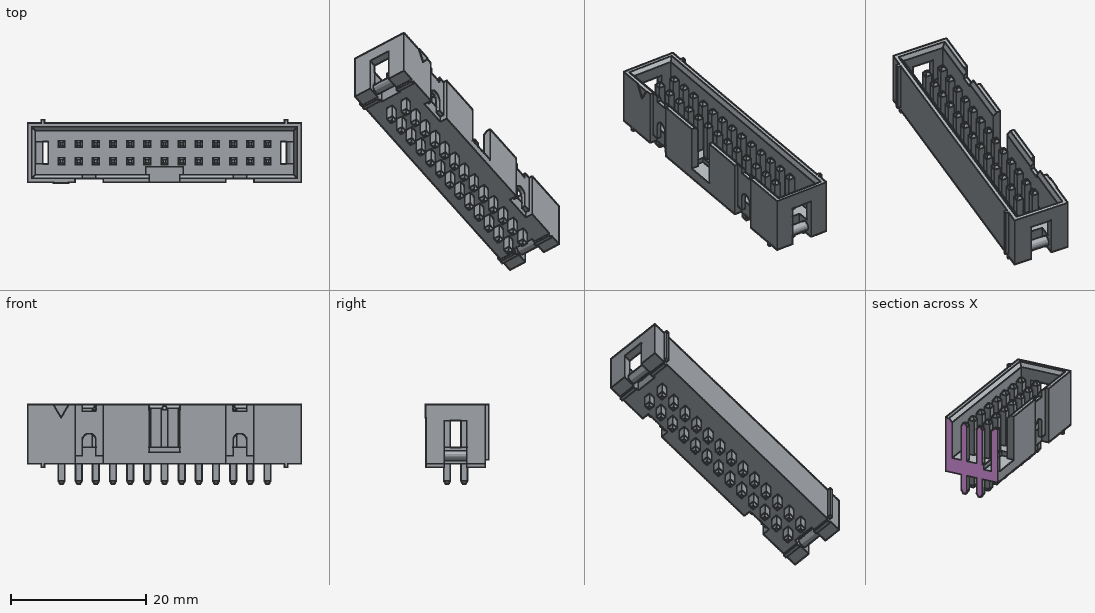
import cadquery as cq


LENGTH = 40.52
DEPTH = 8.8
HEIGHT = 8.8
WALL = 1.15
LEAD_IN = 0.55
FLOOR_TOP = 2.45
FRONT = -DEPTH / 2
BACK = DEPTH / 2
CAVITY_LENGTH = LENGTH - 2 * WALL
CAVITY_DEPTH = DEPTH - 2 * WALL

PITCH = 2.54
COLUMNS = 13
ROWS = 2
PIN_SIZE = 1.0
PIN_TOP = HEIGHT - 0.3
PIN_BOTTOM = -3.0
TIP_HEIGHT = 0.5
TIP_SIZE = 0.4

WINDOW_WIDTH = 4.55
WINDOW_BOTTOM = 1.7
POCKET_WIDTH = 5.55
POCKET_DEPTH = 2.33

LATCH_X = 11.16
RECESS_WIDTH = 4.15
RECESS_DEPTH = 0.55
OPENING_WIDTH = 2.0
OPENING_TOP = 4.5
FOOT_HEIGHT = 1.2
NOTCH_DEPTH = 1.0

SLOT_WIDTH = 3.3
SLOT_LENGTH = 3.05
SLOT_TOP = HEIGHT - 2.4
BAR_INSET = 0.75
BAR_DIAMETER = 1.5
BAR_Z = 1.2

RIB_X = 18.0
RIB_SIZE = 0.5
BACK_RIB_BOTTOM = 0.6

MARK_WIDTH = 2.3
MARK_HEIGHT = 1.95
MARK_THICKNESS = 0.1
MARK_X = -15.3


def block(x_min, x_max, y_min, y_max, z_min, z_max):
    """Box given by its limits along each axis."""
    size = (x_max - x_min, y_max - y_min, z_max - z_min)
    return cq.Workplane("XY").box(*size, centered=False).translate((x_min, y_min, z_min))


def centred_block(x, width, y_min, y_max, z_min, z_max):
    """Box centred on x, with limits along Y and Z."""
    return block(x - width / 2, x + width / 2, y_min, y_max, z_min, z_max)


def taper(z_start, size_start, z_end, size_end):
    """Frustum between two centred rectangles."""
    return (
        cq.Workplane("XY", origin=(0, 0, z_start))
        .rect(*size_start)
        .workplane(offset=z_end - z_start)
        .rect(*size_end)
        .loft(ruled=True)
    )


def cavity():
    """Open cavity with a chamfered lead-in around its rim."""
    well = centred_block(0, CAVITY_LENGTH, FRONT + WALL, BACK - WALL, FLOOR_TOP, HEIGHT)
    mouth_size = (CAVITY_LENGTH + 2 * LEAD_IN, CAVITY_DEPTH + 2 * LEAD_IN)
    lead_in = taper(HEIGHT - LEAD_IN, (CAVITY_LENGTH, CAVITY_DEPTH), HEIGHT, mouth_size)
    return well.union(lead_in)


def key_window():
    """Window through the front wall and the wider pocket cut into the floor."""
    window = centred_block(0, WINDOW_WIDTH, FRONT, FRONT + WALL, WINDOW_BOTTOM, HEIGHT)
    pocket = centred_block(
        0, POCKET_WIDTH, FRONT + WALL, FRONT + POCKET_DEPTH, WINDOW_BOTTOM, FLOOR_TOP
    )
    return window.union(pocket)


def latch_cut(x):
    """Shallow recess with a rim notch, an arched opening and a wide foot."""
    inner_face = FRONT + WALL
    arch_radius = OPENING_WIDTH / 2
    arch_z = OPENING_TOP - arch_radius
    recess = centred_block(x, RECESS_WIDTH, FRONT, FRONT + RECESS_DEPTH, 0, HEIGHT)
    notch = centred_block(x, OPENING_WIDTH, FRONT, inner_face, HEIGHT - NOTCH_DEPTH, HEIGHT)
    foot = centred_block(x, RECESS_WIDTH, FRONT, inner_face, 0, FOOT_HEIGHT)
    opening = centred_block(x, OPENING_WIDTH, FRONT, inner_face, 0, arch_z)
    arch = (
        cq.Workplane("XZ", origin=(x, FRONT, arch_z))
        .circle(arch_radius)
        .extrude(-WALL)
    )
    return recess.union(notch).union(foot).union(opening).union(arch)


def end_slot(side):
    """Slot through the end wall and the end of the floor."""
    slot_x = side * (LENGTH - SLOT_LENGTH) / 2
    return centred_block(
        slot_x, SLOT_LENGTH, -SLOT_WIDTH / 2, SLOT_WIDTH / 2, -RIB_SIZE, SLOT_TOP
    )


def end_bar(side):
    """Round bar that spans the end slot."""
    bar_x = side * (LENGTH / 2 - BAR_INSET - BAR_DIAMETER / 2)
    return (
        cq.Workplane("XZ", origin=(bar_x, 0, BAR_Z))
        .circle(BAR_DIAMETER / 2)
        .extrude(SLOT_WIDTH / 2, both=True)
    )


def ribs(x):
    """Standoff rib under the housing and crush rib on its back face."""
    standoff = centred_block(x, RIB_SIZE, FRONT, BACK, -RIB_SIZE, 0)
    back_rib = centred_block(x, RIB_SIZE, BACK, BACK + RIB_SIZE, BACK_RIB_BOTTOM, HEIGHT)
    return standoff.union(back_rib)


def pin_one_mark():
    """Raised triangle on the front face, pointing down from the rim."""
    return (
        cq.Workplane("XZ", origin=(MARK_X, FRONT, HEIGHT))
        .polyline([(-MARK_WIDTH / 2, 0), (MARK_WIDTH / 2, 0), (0, -MARK_HEIGHT)])
        .close()
        .extrude(MARK_THICKNESS)
    )


def pin():
    """Square pin tapered at both ends, centred on the Z axis."""
    shank_bottom = PIN_BOTTOM + TIP_HEIGHT
    shank_top = PIN_TOP - TIP_HEIGHT
    shank_size = (PIN_SIZE, PIN_SIZE)
    tip_size = (TIP_SIZE, TIP_SIZE)
    half = PIN_SIZE / 2
    shank = block(-half, half, -half, half, shank_bottom, shank_top)
    upper_tip = taper(shank_top, shank_size, PIN_TOP, tip_size)
    lower_tip = taper(PIN_BOTTOM, tip_size, shank_bottom, shank_size)
    return shank.union(upper_tip).union(lower_tip)


def housing():
    """Shroud with its cavity, windows, latches, end slots and ribs."""
    body = centred_block(0, LENGTH, FRONT, BACK, 0, HEIGHT)
    body = body.cut(cavity()).cut(key_window()).union(pin_one_mark())
    for side in (-1, 1):
        body = body.union(ribs(side * RIB_X))
        body = body.cut(latch_cut(side * LATCH_X))
        body = body.cut(end_slot(side)).union(end_bar(side))
    return body


def pins():
    """Full grid of identical pins."""
    return (
        cq.Workplane("XY")
        .rarray(PITCH, PITCH, COLUMNS, ROWS)
        .eachpoint(pin().val(), combine=False)
    )


result = housing().union(pins())